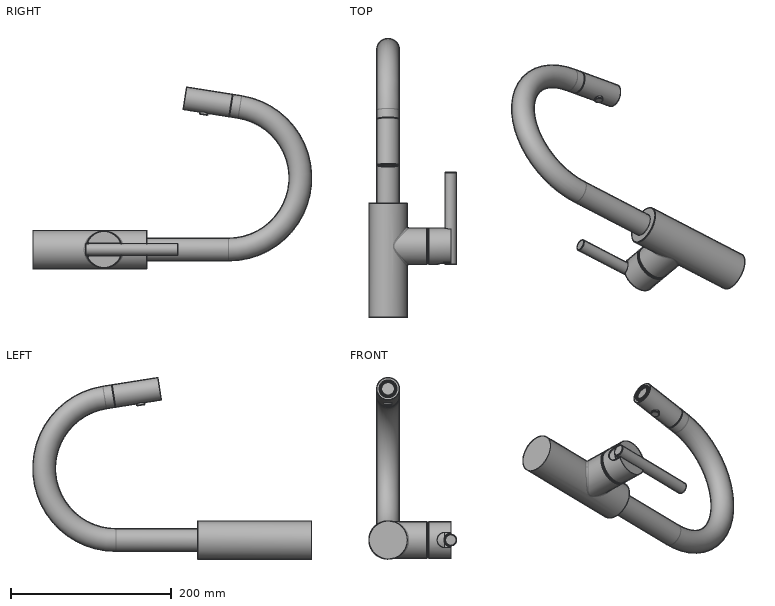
import cadquery as cq
import math

OVERALL_LENGTH = 347.0
OVERALL_WIDTH = 109.5

BASE_RADIUS = 24.0
BASE_LENGTH = 142.5
BASE_RIM_CHAMFER = 0.7

TUBE_RADIUS = 14.2
TUBE_START = BASE_LENGTH / 2
BEND_RADIUS = 89.2
HEAD_TILT = 9.0
BEND_ANGLE = math.radians(180.0 - HEAD_TILT)
BEND_CENTER_Y = OVERALL_LENGTH - BEND_RADIUS - TUBE_RADIUS

HEAD_LENGTH = 69.5
HEAD_CHAMFER = 0.5
SEAM_POSITION = 10.8
SEAM_WIDTH = 1.0
SEAM_DEPTH = 0.5
OUTLET_RADIUS = 11.0
OUTLET_DEPTH = 1.0
AERATOR_RADIUS = 8.0
INSERT_OUTER_RADIUS = 10.0
INSERT_INNER_RADIUS = 9.0
INSERT_HEIGHT = 0.52
BUTTON_RADIUS = 5.2
BUTTON_HEIGHT = 2.5
BUTTON_CHAMFER = 0.7
BUTTON_POSITION = 43.0

ARM_RADIUS = 23.0
ARM_END = 78.5
ARM_Y = 88.5
ARM_FILLET = 1.7
GROOVE_CENTER = 49.3
GROOVE_WIDTH = 3.0
GROOVE_DEPTH = 0.52
GROOVE_CORE_WIDTH = 1.5
GROOVE_CORE_DEPTH = 1.0

LEVER_RADIUS = 7.3
LEVER_X = OVERALL_WIDTH - BASE_RADIUS - LEVER_RADIUS
LEVER_START = ARM_Y - ARM_RADIUS
LEVER_END = 180.5
LEVER_CHAMFER = 0.7
CHANNEL_CLEARANCE = 1.0
CHANNEL_RADIUS = LEVER_RADIUS + CHANNEL_CLEARANCE

RELIEF_RADIUS = 9.5
RELIEF_X = 70.5
RELIEF_DEPTH = 1.5
POCKET_DEPTH = 3.5


def cylinder_y(radius, start, end, x=0.0):
    """Solid cylinder parallel to Y."""
    start_plane = cq.Plane(origin=(x, start, 0), xDir=(1, 0, 0), normal=(0, 1, 0))
    return cq.Workplane(start_plane).circle(radius).extrude(end - start)


def cylinder_x(radius, start, end):
    """Solid cylinder on the arm axis, parallel to X."""
    start_plane = cq.Plane(origin=(start, ARM_Y, 0), xDir=(0, 1, 0), normal=(1, 0, 0))
    return cq.Workplane(start_plane).circle(radius).extrude(end - start)


def arm_groove(width, depth):
    """Ring to cut from the arm, centred on the groove position."""
    start = GROOVE_CENTER - width / 2
    end = GROOVE_CENTER + width / 2
    return cylinder_x(ARM_RADIUS, start, end).cut(cylinder_x(ARM_RADIUS - depth, start, end))


def make_base_and_arm():
    """Base cylinder and side arm, blended where they meet, with a stepped groove round the arm."""
    base = cylinder_y(BASE_RADIUS, 0, BASE_LENGTH).faces(">Y").chamfer(BASE_RIM_CHAMFER)
    joined = base.union(cylinder_x(ARM_RADIUS, 0, ARM_END))
    arm_reach = ARM_RADIUS + ARM_FILLET
    junction_zone = cq.selectors.BoxSelector(
        (0, ARM_Y - arm_reach, -arm_reach),
        (BASE_RADIUS + ARM_FILLET, ARM_Y + arm_reach, arm_reach),
        boundingbox=True,
    )
    joined = joined.edges(junction_zone).fillet(ARM_FILLET)
    wide_groove = arm_groove(GROOVE_WIDTH, GROOVE_DEPTH)
    core_groove = arm_groove(GROOVE_CORE_WIDTH, GROOVE_CORE_DEPTH)
    return joined.cut(wide_groove).cut(core_groove)


def bend_point(angle):
    """(Y, Z) of the point on the bend's centre line after turning by an angle."""
    return (
        BEND_CENTER_Y + BEND_RADIUS * math.sin(angle),
        BEND_RADIUS * (1 - math.cos(angle)),
    )


def make_spout():
    """Tube that starts inside the base and sweeps along the straight and the bend."""
    path = (
        cq.Workplane("YZ")
        .moveTo(TUBE_START, 0)
        .lineTo(BEND_CENTER_Y, 0)
        .threePointArc(bend_point(BEND_ANGLE / 2), bend_point(BEND_ANGLE))
    )
    start_plane = cq.Plane(origin=(0, TUBE_START, 0), xDir=(1, 0, 0), normal=(0, 1, 0))
    return cq.Workplane(start_plane).circle(TUBE_RADIUS).sweep(path)


def head_plane(distance):
    """Plane across the head axis, at a distance along it from the end of the bend."""
    step_y = math.cos(BEND_ANGLE)
    step_z = math.sin(BEND_ANGLE)
    end_y, end_z = bend_point(BEND_ANGLE)
    origin = (0, end_y + distance * step_y, end_z + distance * step_z)
    return cq.Plane(origin=origin, xDir=(1, 0, 0), normal=(0, step_y, step_z))


def make_outlet_recess():
    """Ring-shaped recess in the head face, around a flat aerator disc, with a low insert ring in it."""
    floor = cq.Workplane(head_plane(HEAD_LENGTH - OUTLET_DEPTH))
    recess = floor.circle(OUTLET_RADIUS).circle(AERATOR_RADIUS).extrude(OUTLET_DEPTH)
    insert = floor.circle(INSERT_OUTER_RADIUS).circle(INSERT_INNER_RADIUS).extrude(INSERT_HEIGHT)
    return recess.cut(insert)


def make_button():
    """Round button that stands out from the underside of the head, square to its axis."""
    down = (0, -math.sin(BEND_ANGLE), math.cos(BEND_ANGLE))
    button_plane = cq.Plane(origin=head_plane(BUTTON_POSITION).origin, xDir=(1, 0, 0), normal=down)
    button = cq.Workplane(button_plane).circle(BUTTON_RADIUS).extrude(TUBE_RADIUS + BUTTON_HEIGHT)
    return button.faces("<Z").chamfer(BUTTON_CHAMFER)


def make_head():
    """Spray head with its seam groove, outlet and button."""
    head = cq.Workplane(head_plane(0)).circle(TUBE_RADIUS).extrude(HEAD_LENGTH)
    head = head.faces("<Y").chamfer(HEAD_CHAMFER)
    seam = (
        cq.Workplane(head_plane(SEAM_POSITION))
        .circle(TUBE_RADIUS)
        .circle(TUBE_RADIUS - SEAM_DEPTH)
        .extrude(SEAM_WIDTH)
    )
    return head.cut(seam).cut(make_outlet_recess()).union(make_button())


def lever_channel():
    """Round channel for the lever, open at the arm end, with the relief around its lower mouth."""
    channel = cylinder_y(CHANNEL_RADIUS, LEVER_START, ARM_Y + ARM_RADIUS, LEVER_X)
    relief = cylinder_y(RELIEF_RADIUS, LEVER_START, ARM_Y, RELIEF_X)
    relief = relief.cut(cylinder_x(ARM_RADIUS - RELIEF_DEPTH, 0, ARM_END))
    pocket = cq.Workplane("XY").box(
        ARM_END - RELIEF_X, POCKET_DEPTH, 2 * RELIEF_RADIUS, centered=(False, False, True)
    )
    pocket = pocket.translate((RELIEF_X, LEVER_START, 0))
    return channel.union(relief).union(pocket)


def make_faucet():
    """Base, arm, spout and spray head as one solid, with room cut for the lever."""
    return make_base_and_arm().union(make_spout()).union(make_head()).cut(lever_channel())


def make_lever():
    """Straight round rod with both ends chamfered."""
    return cylinder_y(LEVER_RADIUS, LEVER_START, LEVER_END, LEVER_X).faces("<Y or >Y").chamfer(LEVER_CHAMFER)


faucet = make_faucet()
lever = make_lever()

result = cq.Compound.makeCompound([faucet.val(), lever.val()])